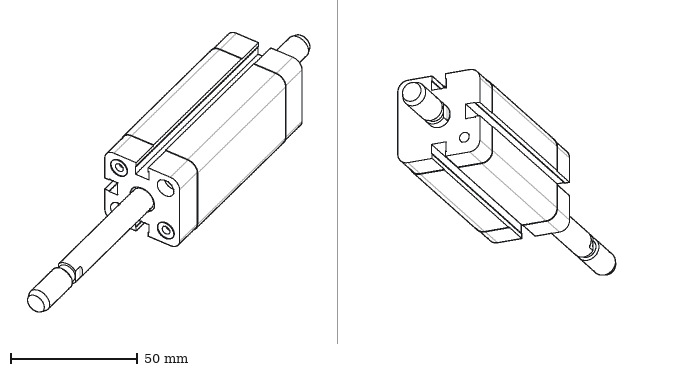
import cadquery as cq

rod_length = 191.0
body_front = -19.1
barrel_front = -6.5
barrel_rear = 57.0
body_rear = 69.0

barrel_width = 36.1
barrel_corner = 4.8
cap_width = 35.5
cap_corner = 4.4

slot_mouth_width = 5.7
slot_width = 6.3
slot_floor = 11.7
slot_lip = 15.7
slot_angles = (0, 90, 180)

hole_offset = 11.0
bore_diameter = 7.8
bore_depth = 5.0
through_diameter = 4.2
screw_recess = 0.4
socket_diameter = 3.6
socket_depth = 2.5

rod_diameter = 10.0
neck_diameter = 7.8
tip_diameter = 8.0
tip_length = 2.5
thread_length = 16.2
neck_length = 3.6
neck_taper = 0.5
flat_length = 3.8
flat_fillet = 0.5
flat_spacing = 8.0
rod_end = rod_length / 2
tip_start = rod_end - tip_length
thread_start = tip_start - thread_length
neck_start = thread_start - neck_length

guide_diameter = 11.7
guide_depth = 0.5


def square_prism(width, corner, y_start, y_end):
    end_face = cq.Workplane("XZ", origin=(0, y_end, 0))
    prism = end_face.rect(width, width).extrude(y_end - y_start)
    return prism.edges("|Y").fillet(corner)


def cylinder(x, z, diameter, y_start, y_end):
    solid = cq.Solid.makeCylinder(
        diameter / 2, y_end - y_start, cq.Vector(x, y_start, z), cq.Vector(0, 1, 0)
    )
    return cq.Workplane(obj=solid)


def slot_cutter():
    """T-shaped slot opening on the +Z side along the whole body."""
    surface = barrel_width / 2
    right_side = [
        (slot_width / 2, slot_floor),
        (slot_width / 2, slot_lip),
        (slot_mouth_width / 2, slot_lip),
        (slot_mouth_width / 2, surface),
    ]
    left_side = [(-x, z) for x, z in reversed(right_side)]
    section = cq.Workplane("XZ", origin=(0, body_rear, 0)).polyline(right_side + left_side).close()
    return section.extrude(body_rear - body_front)


def make_body():
    body = square_prism(barrel_width, barrel_corner, barrel_front, barrel_rear)
    body = body.union(square_prism(cap_width, cap_corner, body_front, barrel_front))
    body = body.union(square_prism(cap_width, cap_corner, barrel_rear, body_rear))
    for angle in slot_angles:
        body = body.cut(slot_cutter().rotate((0, 0, 0), (0, 1, 0), -angle))
    return body.cut(cylinder(0, 0, guide_diameter, body_front, body_front + guide_depth))


def cut_mounting_hole(body, x, z):
    """Through hole with a counterbore in the front face."""
    body = body.cut(cylinder(x, z, through_diameter, body_front, body_rear))
    return body.cut(cylinder(x, z, bore_diameter, body_front, body_front + bore_depth))


def cut_screw_seat(body, x, z):
    """Shallow seat and round socket of a cap screw in the front face."""
    head = body_front + screw_recess
    body = body.cut(cylinder(x, z, bore_diameter, body_front, head))
    return body.cut(cylinder(x, z, socket_diameter, head, head + socket_depth))


def half_rod_outline():
    """Half section of one rod end, from the middle of the rod to its tip."""
    rod_radius = rod_diameter / 2
    neck_radius = neck_diameter / 2
    return (
        cq.Workplane()
        .lineTo(rod_radius, 0)
        .lineTo(rod_radius, neck_start)
        .lineTo(neck_radius, neck_start)
        .lineTo(neck_radius, thread_start - neck_taper)
        .lineTo(rod_radius, thread_start)
        .lineTo(rod_radius, tip_start)
        .lineTo(tip_diameter / 2, rod_end)
        .lineTo(0, rod_end)
        .close()
    )


def flat_cutter():
    """Cutter for one wrench flat on the +X side, with a rounded run-out."""
    cutter = cq.Workplane().box(rod_diameter, flat_length, rod_diameter, centered=(False, False, True))
    cutter = cutter.translate((flat_spacing / 2, neck_start - flat_length, 0))
    return cutter.edges("<X and <Y").fillet(flat_fillet)


def make_rod():
    half = half_rod_outline().revolve(360, (0, 0, 0), (0, 1, 0))
    half = half.cut(flat_cutter()).cut(flat_cutter().mirror("YZ"))
    return half.union(half.mirror("XZ"))


body = make_body()
for side in (-1, 1):
    body = cut_mounting_hole(body, side * hole_offset, side * hole_offset)
    body = cut_screw_seat(body, side * hole_offset, -side * hole_offset)
result = body.union(make_rod())